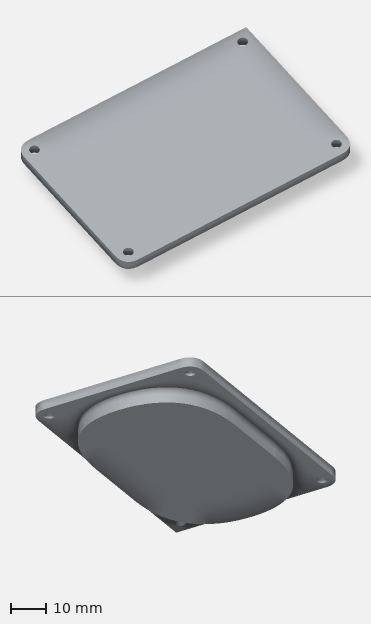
import cadquery as cq

plate_width = 55.0
plate_length = 80.0
plate_thickness = 3.0
total_height = 8.0
corner_size = 5.0

hole_diameter = 3.0
edge_margin = 4.0

boss_width = plate_width - 2 * edge_margin
boss_length = plate_length - 2 * edge_margin
boss_height = total_height - plate_thickness
boss_flat_length = 21.8

start_handle = 0.4
end_handle = 0.85


def point_between(start, end, fraction):
    """Point at the given fraction of the way from start to end."""
    return tuple(a + (b - a) * fraction for a, b in zip(start, end))


def round_corner(outline, start, corner, end):
    """Continue the outline from start to end, rounding off the sharp corner."""
    start_control = point_between(start, corner, start_handle)
    end_control = point_between(end, corner, end_handle)
    return outline.bezier([start, start_control, end_control, end])


def make_plate():
    """Plate with three rounded corners; the -X, +Y corner stays square."""
    x = plate_width / 2
    y = plate_length / 2
    inner_x = x - corner_size
    inner_y = y - corner_size
    outline = cq.Workplane("XY").moveTo(-x, y).lineTo(-x, -inner_y)
    outline = round_corner(outline, (-x, -inner_y), (-x, -y), (-inner_x, -y))
    outline = outline.lineTo(inner_x, -y)
    outline = round_corner(outline, (inner_x, -y), (x, -y), (x, -inner_y))
    outline = outline.lineTo(x, inner_y)
    outline = round_corner(outline, (x, inner_y), (x, y), (inner_x, y))
    return outline.close().extrude(plate_thickness)


def make_boss():
    """Boss with short straight sides and corners that meet at the middle of each end."""
    x = boss_width / 2
    y = boss_length / 2
    flat_y = boss_flat_length / 2
    outline = cq.Workplane("XY").moveTo(-x, flat_y).lineTo(-x, -flat_y)
    outline = round_corner(outline, (-x, -flat_y), (-x, -y), (0, -y))
    outline = round_corner(outline, (0, -y), (x, -y), (x, -flat_y))
    outline = outline.lineTo(x, flat_y)
    outline = round_corner(outline, (x, flat_y), (x, y), (0, y))
    outline = round_corner(outline, (0, y), (-x, y), (-x, flat_y))
    return outline.close().extrude(-boss_height)


def drill_mounting_holes(plate):
    """Through holes near the four corners of the plate."""
    spacing_x = plate_width - 2 * edge_margin
    spacing_y = plate_length - 2 * edge_margin
    return (
        plate.faces(">Z")
        .workplane(origin=(0, 0, 0))
        .rect(spacing_x, spacing_y, forConstruction=True)
        .vertices()
        .hole(hole_diameter)
    )


result = drill_mounting_holes(make_plate()).union(make_boss())